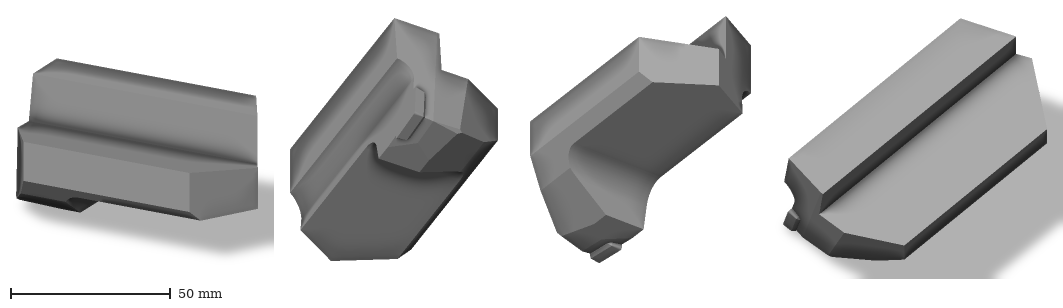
import cadquery as cq
import math


def tan_deg(angle):
    return math.tan(math.radians(angle))


overall_length = 88.86
shank_depth = 42.22
rail_width = 16.0
rail_height = 16.0
ledge_rise_angle = 8.0
front_face_bottom = -25.3
front_bevel_size = 7.45
belly_angle = 30.0
leg_bottom = -42.2
shank_bottom = -29.0
ledge_front_height = -rail_height + (shank_depth - rail_width) * tan_deg(ledge_rise_angle)
bevel_bottom = front_face_bottom - front_bevel_size
bevel_inner_y = -shank_depth + front_bevel_size
foot_front_y = bevel_inner_y + (bevel_bottom - leg_bottom) / tan_deg(belly_angle)

point_y = -20.5
point_face_angle = 30.0

front_corner_x = 17.2
front_corner_angle = 34.0

leg_foot_right_x = 24.5
leg_flank_angle = 20.0
leg_fillet_radius = 9.0
leg_root_x = leg_foot_right_x + (shank_bottom - leg_bottom) * tan_deg(leg_flank_angle)

rake_angle = 5.0
lead_angle = 6.0
nose_x = -0.08
nose_y = -4.05
nose_z = -41.97

tip_setback = 1.7
tip_depth = 7.4
side_relief_angle = 7.6
end_relief_angle = 10.0
corner_relief_angle = 16.8

gullet_top = -18.0
gullet_radius = 6.0

insert_side = 12.7
insert_corner_radius = 0.8
insert_land_depth = 3.4
insert_land_taper = 10.0
insert_bevel_depth = 0.9
insert_bevel_taper = 45.0

clearance = 20.0
cutter_size = 400.0

cutting_frame = cq.Plane(
    origin=(nose_x, nose_y, nose_z),
    xDir=(1, 0, 0),
    normal=(0, -1, -tan_deg(rake_angle)),
).rotated((0, 0, -lead_angle))


def trim(body, point, outward):
    """Remove everything beyond the plane through point that faces outward."""
    cutter = cq.Workplane(cq.Plane(origin=point, normal=outward)).box(
        cutter_size, cutter_size, cutter_size, centered=(True, True, False)
    )
    return body.cut(cutter)


def trim_tip(body, outward):
    """Trim by a plane through the tip corner; outward is given in the cutting frame."""
    point = cutting_frame.toWorldCoords((tip_setback, tip_setback, tip_depth))
    direction = cutting_frame.toWorldCoords(outward) - cutting_frame.origin
    return trim(body, point, direction)


def make_bar():
    """The full-length shank section, still with the leg along its whole length."""
    profile = [
        (0, 0),
        (-rail_width, 0),
        (-rail_width, -rail_height),
        (-shank_depth, ledge_front_height),
        (-shank_depth, front_face_bottom),
        (bevel_inner_y, bevel_bottom),
        (foot_front_y, leg_bottom),
        (0, leg_bottom),
    ]
    return cq.Workplane("YZ").polyline(profile).close().extrude(overall_length)


def trim_outline(body):
    """Cut the pointed right end and the front left corner."""
    slope = tan_deg(point_face_angle)
    body = trim(body, (overall_length, point_y, 0), (1, slope, 0))
    body = trim(body, (overall_length, point_y, 0), (1, -slope, 0))
    return trim(body, (front_corner_x, -shank_depth, 0), (-1, -tan_deg(front_corner_angle), 0))


def make_underside_cutter():
    """The space under the shank, right of the leg, with a rounded inner corner."""
    below = leg_bottom - clearance
    below_x = leg_foot_right_x - clearance * tan_deg(leg_flank_angle)
    right = overall_length + clearance
    outline = [(below_x, below), (leg_root_x, shank_bottom), (right, shank_bottom), (right, below)]
    cutter = cq.Workplane("XZ").polyline(outline).close().extrude(shank_depth + clearance)
    cutter = cutter.translate((0, clearance / 2, 0))
    root = cq.selectors.NearestToPointSelector((leg_root_x, -shank_depth / 2, shank_bottom))
    return cutter.edges(root).fillet(leg_fillet_radius)


def make_gullet_cutter():
    """The space behind the rake plane, with a rounded roof, open at both ends."""
    rake_slope = tan_deg(rake_angle)
    arc_end_z = gullet_top - gullet_radius
    arc_end_y = nose_y - (arc_end_z - nose_z) * rake_slope
    below = leg_bottom - clearance
    below_y = nose_y - (below - nose_z) * rake_slope
    arc_mid = (
        arc_end_y + gullet_radius * (1 - math.sqrt(0.5)),
        arc_end_z + gullet_radius * math.sqrt(0.5),
    )
    arc_top = (arc_end_y + gullet_radius, gullet_top)
    return (
        cq.Workplane("YZ", origin=(-clearance, 0, 0))
        .moveTo(below_y, below)
        .lineTo(arc_end_y, arc_end_z)
        .threePointArc(arc_mid, arc_top)
        .lineTo(clearance, gullet_top)
        .lineTo(clearance, below)
        .close()
        .extrude(overall_length + 2 * clearance)
    )


def trim_cutting_tip(body):
    """Cut the two straight tip faces, the relief faces and the corner bevel."""
    side_relief = tan_deg(side_relief_angle)
    end_relief = tan_deg(end_relief_angle)
    corner_relief = math.sqrt(2) * tan_deg(corner_relief_angle)
    body = trim_tip(body, (-1, 0, 0))
    body = trim_tip(body, (0, -1, 0))
    body = trim_tip(body, (-1, 0, side_relief))
    body = trim_tip(body, (0, -1, end_relief))
    return trim_tip(body, (-1, -1, corner_relief))


def make_insert():
    """Square insert whose sides taper inward, then bevel to the seat."""
    middle = insert_side / 2
    land = (
        cq.Workplane(cutting_frame)
        .center(middle, middle)
        .sketch()
        .rect(insert_side, insert_side)
        .vertices()
        .fillet(insert_corner_radius)
        .finalize()
        .extrude(insert_land_depth, taper=insert_land_taper)
    )
    land_back = cq.selectors.DirectionMinMaxSelector(cutting_frame.zDir)
    bevel = (
        land.faces(land_back)
        .wires()
        .toPending()
        .workplane()
        .extrude(insert_bevel_depth, taper=insert_bevel_taper, combine=False)
    )
    return land.union(bevel)


insert = make_insert()

holder = trim_outline(make_bar())
holder = holder.cut(make_underside_cutter())
holder = holder.cut(make_gullet_cutter())
holder = trim_cutting_tip(holder)
holder = holder.cut(insert)

result = cq.Compound.makeCompound([holder.val(), insert.val()])